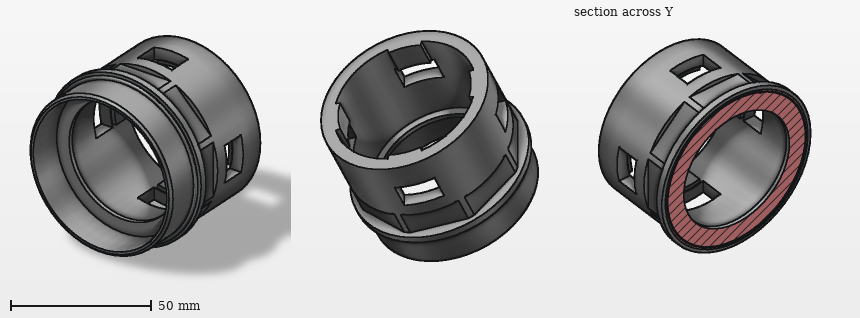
import cadquery as cq
import math

length = 53.5
edge_chamfer = 1.0
bead_start = 13.1
flange_start = 14.65
flange_end = 17.55
flats_end = 27.6
window_start = 33.1
window_end = 43.0

socket_radius = 31.45
flange_radius = 33.9
bead_radius = 32.9
body_radius = 31.7

socket_bore_radius = 29.4
lip_bore_radius = 23.9
sleeve_bore_radius = 26.85
socket_depth = 14.2
lip_thickness = 1.8

flat_count = 8
flat_distance = 29.75
window_count = 4
window_width = 15.05

pad_setback = 0.35
pad_start = window_end + pad_setback
pad_inner_radius = 25.2
pad_half_angle = 14.0


def cylinder(radius, start, end):
    """Solid cylinder on the Y axis between two axial positions."""
    return cq.Workplane("XZ", origin=(0, start, 0)).circle(radius).extrude(start - end)


def radial_cutter(inner, width, start, end, angle):
    """Box reaching outward from distance `inner`, turned about Y."""
    reach = flange_radius - inner
    box = cq.Workplane("XY").box(reach, end - start, width, centered=(False, False, True))
    return box.translate((inner, start, 0)).rotate((0, 0, 0), (0, 1, 0), angle)


def bead():
    """Round-section ring on the socket, seated against the flange."""
    section_radius = (flange_start - bead_start) / 2
    section = (
        cq.Workplane("XY")
        .center(bead_radius - section_radius, bead_start + section_radius)
        .circle(section_radius)
    )
    axis_offset = section_radius - bead_radius
    return section.revolve(360, (axis_offset, 0, 0), (axis_offset, 1, 0))


def pad():
    """Arc-shaped pad on the sleeve bore, centred on +X and running to the open end."""
    outer_radius = (sleeve_bore_radius + body_radius) / 2
    half_angle = math.radians(pad_half_angle)

    def arc_point(radius, angle):
        return (radius * math.cos(angle), radius * math.sin(angle))

    profile = (
        cq.Workplane("XZ", origin=(0, pad_start, 0))
        .moveTo(*arc_point(pad_inner_radius, -half_angle))
        .threePointArc((pad_inner_radius, 0), arc_point(pad_inner_radius, half_angle))
        .lineTo(*arc_point(outer_radius, half_angle))
        .threePointArc((outer_radius, 0), arc_point(outer_radius, -half_angle))
        .close()
    )
    return profile.extrude(pad_start - length)


socket = cylinder(socket_radius, 0, flange_start).faces("<Y").chamfer(edge_chamfer)
flange = cylinder(flange_radius, flange_start, flange_end)
body = cylinder(body_radius, flange_end, length)
result = socket.union(flange).union(body).union(bead())

for index in range(flat_count):
    angle = index * 360 / flat_count
    flat = radial_cutter(flat_distance, 2 * flange_radius, flange_end, flats_end, angle)
    result = result.cut(flat)

lip_end = socket_depth + lip_thickness
result = result.cut(cylinder(socket_bore_radius, 0, socket_depth))
result = result.cut(cylinder(lip_bore_radius, socket_depth, lip_end))
result = result.cut(cylinder(sleeve_bore_radius, lip_end, length))

for index in range(window_count):
    angle = index * 360 / window_count
    result = result.cut(radial_cutter(0, window_width, window_start, window_end, angle))
    result = result.union(pad().rotate((0, 0, 0), (0, 1, 0), angle))